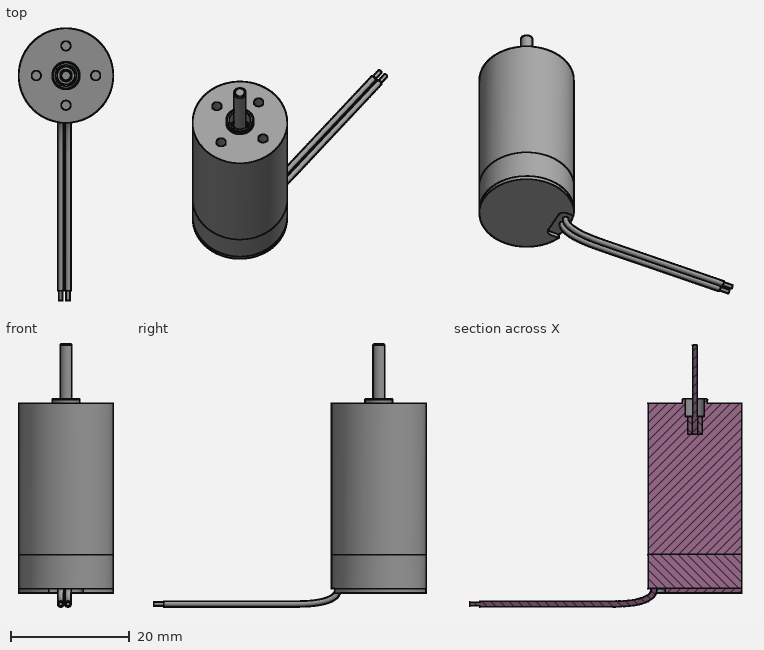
import cadquery as cq

body_diameter = 16.0
body_radius = body_diameter / 2

rear_disk_thickness = 0.8
rear_ring_length = 5.7
housing_length = 25.55
ring_base = rear_disk_thickness
housing_base = ring_base + rear_ring_length
housing_top = housing_base + housing_length

boss_diameter = 4.7
boss_height = 0.8
boss_edge_chamfer = 0.2
recess_diameter = 3.6
recess_depth = 3.0
boss_top = housing_top + boss_height
bushing_top = boss_top - recess_depth

bushing_diameter = 3.0
bushing_length = 3.0
bushing_base = bushing_top - bushing_length

shaft_diameter = 2.0
shaft_protrusion = 10.0
shaft_chamfer = 0.25
shaft_length = housing_top + shaft_protrusion - bushing_base

mounting_hole_count = 4
mounting_hole_diameter = 1.6
mounting_hole_circle_radius = 5.0
mounting_hole_depth = 3.0

slot_width = 5.8
slot_corner_radius = 0.95
slot_back = -5.0

wire_diameter = 1.0
wire_pitch = 1.25
wire_pair_offset = -0.28
wire_start = -6.85
wire_bend_end = -13.95
wire_jacket_end = -36.25
wire_tip = -37.95
wire_core_diameter = 0.7
wire_lowest = -2.35
wire_axis_height = wire_lowest + wire_diameter / 2


def cylinder(diameter, base, length):
    """Upright cylinder on the motor axis."""
    return cq.Workplane("XY").workplane(offset=base).circle(diameter / 2).extrude(length)


def make_housing():
    """Main barrel with its recessed boss, bushing seat and mounting holes."""
    boss = cylinder(boss_diameter, housing_top, boss_height).faces(">Z").edges().chamfer(boss_edge_chamfer)
    recess = cylinder(recess_diameter, bushing_top, recess_depth)
    bushing_seat = cylinder(bushing_diameter, bushing_base, bushing_length)
    mounting_holes = (
        cq.Workplane("XY")
        .workplane(offset=housing_top)
        .polarArray(mounting_hole_circle_radius, 0, 360, mounting_hole_count)
        .circle(mounting_hole_diameter / 2)
        .extrude(-mounting_hole_depth)
    )
    barrel = cylinder(body_diameter, housing_base, housing_length)
    return barrel.union(boss).cut(recess).cut(bushing_seat).cut(mounting_holes)


def make_bushing():
    """Plain sleeve that fills the gap between its seat and the shaft."""
    bore = cylinder(shaft_diameter, bushing_base, bushing_length)
    return cylinder(bushing_diameter, bushing_base, bushing_length).cut(bore)


def make_shaft():
    """Round shaft with a chamfered free end."""
    return cylinder(shaft_diameter, bushing_base, shaft_length).faces(">Z").edges().chamfer(shaft_chamfer)


def make_rear_ring():
    """Plain rear section of the body."""
    return cylinder(body_diameter, ring_base, rear_ring_length)


def make_rear_disk():
    """Thin end disk with a round-cornered slot for the wires."""
    slot_reach = body_radius + slot_back
    slot = (
        cq.Workplane("XY")
        .center(0, slot_back - slot_reach / 2)
        .rect(slot_width, slot_reach)
        .extrude(rear_disk_thickness)
        .edges("|Z and >Y")
        .fillet(slot_corner_radius)
    )
    return cylinder(body_diameter, 0, rear_disk_thickness).cut(slot)


def straight_run(x, diameter, start, end):
    """Straight round length of wire along -Y."""
    return (
        cq.Workplane("XZ", origin=(x, start, wire_axis_height))
        .circle(diameter / 2)
        .extrude(start - end)
    )


def make_wire(x):
    """Jacket that bends from the rear ring into a straight run, then a thinner bare end."""
    bend_path = cq.Workplane("YZ", origin=(x, 0, 0)).bezier(
        [
            (wire_start, ring_base),
            (wire_start, wire_axis_height),
            (wire_bend_end, wire_axis_height),
        ]
    )
    bend = cq.Workplane("XY", origin=(x, wire_start, ring_base)).circle(wire_diameter / 2).sweep(bend_path)
    jacket = straight_run(x, wire_diameter, wire_bend_end, wire_jacket_end)
    core = straight_run(x, wire_core_diameter, wire_jacket_end, wire_tip)
    return bend.union(jacket).union(core)


wires = [make_wire(wire_pair_offset + side * wire_pitch / 2) for side in (-1, 1)]

result = cq.Compound.makeCompound(
    [
        make_housing().val(),
        make_bushing().val(),
        make_shaft().val(),
        make_rear_ring().val(),
        make_rear_disk().val(),
        *[wire.val() for wire in wires],
    ]
)